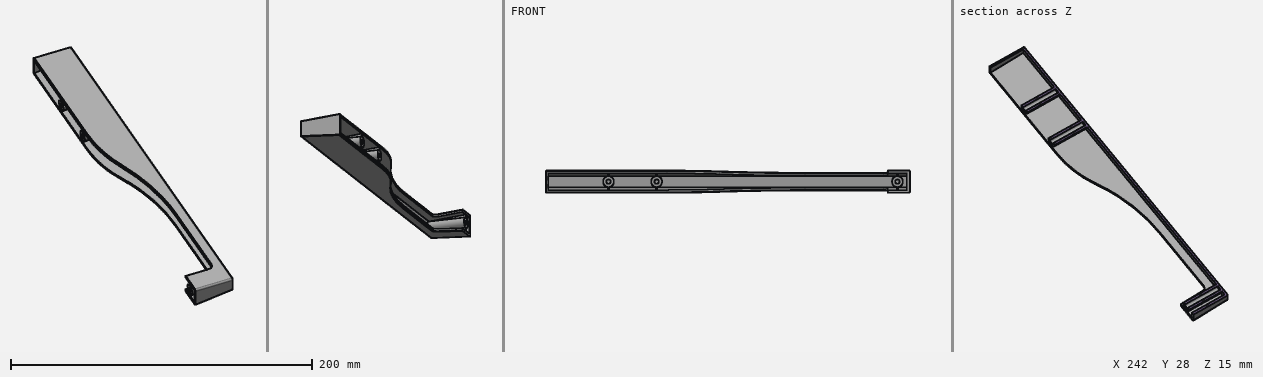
import cadquery as cq
import math

length = 242.0
depth = 28.0
front_height = 15.0
back_height = 11.0

curve_start = 80.3
curve_end = 171.8
arm_front = 20.3
first_radius = 82.3
leg_width = 15.0
leg_corner_radius = 3.0

left_wall = 1.7
right_wall = 2.2
flank_wall = 2.0
back_wall = 2.0
outer_round = 1.2
rim_chamfer = 0.5

boss_places = (41.6, 73.5, 233.5)
boss_radius = 3.6
hole_radius = 1.5
rib_width = 1.0

curve_run = curve_end - curve_start
radius_sum = (curve_run**2 + arm_front**2) / (2 * arm_front)
second_radius = radius_sum - first_radius
curve_angle = 2 * math.atan(arm_front / curve_run)


def arc_offset(radius, angle):
    """Travel along X and Y on an arc that starts parallel to X."""
    return radius * math.sin(angle), radius * (1 - math.cos(angle))


def wedge(inset):
    """Full-length bar that narrows in height toward the back."""
    front_half = front_height / 2 - inset
    back_half = back_height / 2 - inset
    return (
        cq.Workplane("YZ")
        .polyline([(0, -front_half), (depth, -back_half), (depth, back_half), (0, front_half)])
        .close()
        .extrude(length)
    )


def front_cutaway():
    """Space in front of the S-curve and arm, up to the leg."""
    first_x, first_y = arc_offset(first_radius, curve_angle / 2)
    turn_x, turn_y = arc_offset(first_radius, curve_angle)
    second_x, second_y = arc_offset(second_radius, curve_angle / 2)
    leg_start = length - leg_width
    return (
        cq.Workplane("XY", origin=(0, 0, -front_height))
        .moveTo(curve_start, 0)
        .threePointArc((curve_start + first_x, first_y), (curve_start + turn_x, turn_y))
        .threePointArc((curve_end - second_x, arm_front - second_y), (curve_end, arm_front))
        .lineTo(leg_start, arm_front)
        .lineTo(leg_start, 0)
        .close()
        .extrude(2 * front_height)
        .edges(cq.selectors.NearestToPointSelector((leg_start, arm_front, 0)))
        .fillet(leg_corner_radius)
    )


def rounded_bar():
    """Wedge with its back, right-end and left-end edges eased."""
    return (
        wedge(0)
        .faces("<X")
        .edges("not <Y")
        .chamfer(rim_chamfer)
        .faces(">Y or >X")
        .edges("not <Y")
        .edges("not <X")
        .fillet(outer_round)
    )


def ease_front_rim(body):
    """Chamfer the flank edges along the grip, S-curve, arm and inner side of the leg."""
    rim_zone = cq.selectors.BoxSelector(
        (outer_round, -rim_chamfer, -front_height),
        (length - leg_width + rim_chamfer, arm_front + rim_chamfer, front_height),
    )
    return body.edges(rim_zone).edges("not |Z").chamfer(rim_chamfer)


def pocket():
    """Hollow interior, open along the front."""
    room = cq.Workplane("XY").box(
        length - left_wall - right_wall, depth - back_wall, front_height, centered=(False, False, True)
    )
    return wedge(flank_wall).intersect(room.translate((left_wall, 0, 0)))


def bosses():
    """Round screw posts, each braced by a thin rib to both flanks."""
    posts = cq.Workplane("XY")
    for x in boss_places:
        post = cq.Workplane("XZ", origin=(x, 0, 0)).circle(boss_radius).extrude(-depth)
        rib = cq.Workplane("XY").box(rib_width, depth, front_height, centered=(True, False, True))
        posts = posts.add(post.union(rib.translate((x, 0, 0))))
    return posts.combine()


def screw_holes():
    """Blind holes that stop at the back wall."""
    return (
        cq.Workplane("XZ")
        .pushPoints([(x, 0) for x in boss_places])
        .circle(hole_radius)
        .extrude(-(depth - back_wall))
    )


hollow = pocket().cut(bosses())
bar = rounded_bar().cut(front_cutaway())
result = ease_front_rim(bar).cut(hollow).cut(screw_holes())